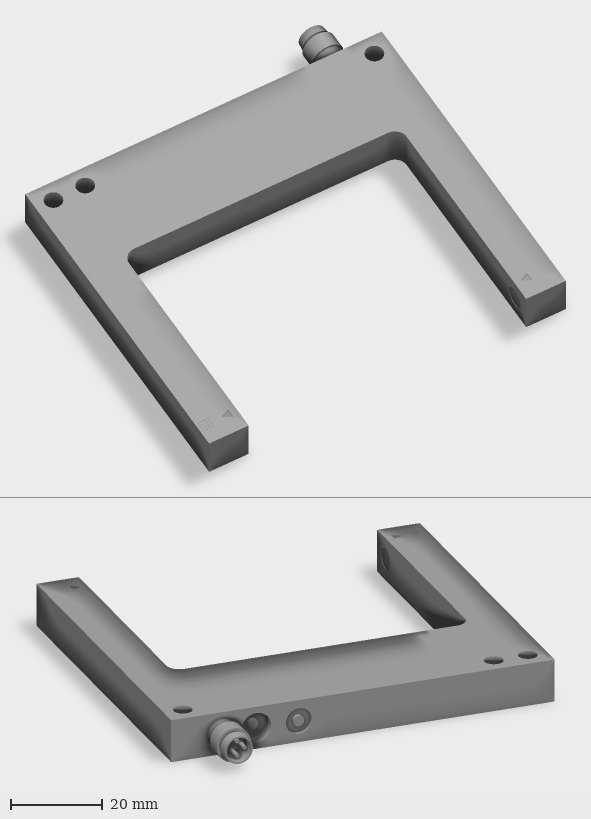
import cadquery as cq

overall_length = 90.0
body_width = 90.0
body_height = 10.0
plug_length = 10.0
arm_width = 10.0
spine_width = 25.0
inner_corner_radius = 3.0

mount_hole_diameter = 4.3
mount_hole_inset = 4.5
mount_hole_spacing = 8.0

plug_inset = 12.0
tip_diameter = 6.5
tip_length = 2.2
flare_diameter = 7.0
groove_diameter = 6.5
groove_end = 3.0
collar_diameter = 8.0
collar_end = 7.0
neck_diameter = 7.0
socket_diameter = 5.8
socket_depth = 4.5
pin_diameter = 1.0
pin_circle_radius = 1.7
pin_length = 3.6

adjuster_inset = 20.0
adjuster_diameter = 7.0
adjuster_depth = 3.0
lamp_inset = 30.0
lamp_diameter = 6.0
lamp_depth = 1.0
knob_diameter = 2.5
knob_height = 1.0

optic_setback = 4.95
lens_diameter = 5.0
marking_depth = 0.2
arrow_width = 2.2
arrow_length = 2.2
back_arrow_inset = 6.3
front_arrow_inset = 8.3
dot_pitch = 0.84
dot_diameter = 0.2
dots_per_side = 4
dot_grid_inset = 2.0
dot_grid_setback = 4.9

body_length = overall_length - plug_length
left = -body_length / 2
right = body_length / 2
back = body_width / 2
front = -body_width / 2
inner_half_gap = body_width / 2 - arm_width
middle_height = body_height / 2
optic_x = right - optic_setback


def rod(x_start, x_end, y, diameter, z=middle_height):
    """Cylinder along X between two X positions."""
    return (
        cq.Workplane("YZ", origin=(x_start, y, z))
        .circle(diameter / 2)
        .extrude(x_end - x_start)
    )


def make_body():
    slab = cq.Workplane("XY").box(body_length, body_width, body_height, centered=(True, True, False))
    gap = (
        cq.Workplane("XY")
        .box(body_length, 2 * inner_half_gap, body_height, centered=(False, True, False))
        .translate((left + spine_width, 0, 0))
        .edges("|Z and <X")
        .fillet(inner_corner_radius)
    )
    return slab.cut(gap)


def make_mount_holes():
    hole_x = left + mount_hole_inset
    front_y = front + mount_hole_inset
    hole_ys = [back - mount_hole_inset, front_y, front_y + mount_hole_spacing]
    return (
        cq.Workplane("XY")
        .pushPoints([(hole_x, y) for y in hole_ys])
        .circle(mount_hole_diameter / 2)
        .extrude(body_height)
    )


def make_flared_tip(x_start, y):
    """Slightly conical plug end, widening toward the body."""
    return (
        cq.Workplane("YZ", origin=(x_start, y, middle_height))
        .circle(tip_diameter / 2)
        .workplane(offset=tip_length)
        .circle(flare_diameter / 2)
        .loft(ruled=True)
    )


def make_plug():
    y = back - plug_inset
    tip = left - plug_length
    plug = (
        make_flared_tip(tip, y)
        .union(rod(tip + tip_length, tip + groove_end, y, groove_diameter))
        .union(rod(tip + groove_end, tip + collar_end, y, collar_diameter))
        .union(rod(tip + collar_end, left, y, neck_diameter))
        .cut(rod(tip, tip + socket_depth, y, socket_diameter))
    )
    floor = tip + socket_depth
    pin_offsets = [(0, pin_circle_radius), (0, -pin_circle_radius), (-pin_circle_radius, 0)]
    for dy, dz in pin_offsets:
        plug = plug.union(rod(floor - pin_length, floor, y + dy, pin_diameter, middle_height + dz))
    return plug


def make_recess(inset, diameter, depth):
    y = back - inset
    floor = left + depth
    knob = rod(floor - knob_height, floor, y, knob_diameter)
    return rod(left, floor, y, diameter).cut(knob)


def make_lenses():
    """Shallow round lens windows, facing each other across the gap."""
    reach = inner_half_gap + marking_depth
    return (
        cq.Workplane("XZ", origin=(optic_x, reach, middle_height))
        .circle(lens_diameter / 2)
        .extrude(2 * reach)
    )


def make_arrow(base_y):
    """Engraved triangle pointing toward -Y."""
    return (
        cq.Workplane("XY", origin=(optic_x, base_y, body_height - marking_depth))
        .polyline([(-arrow_width / 2, 0), (arrow_width / 2, 0), (0, -arrow_length)])
        .close()
        .extrude(marking_depth)
    )


def make_dot_grid():
    grid_y = front + dot_grid_inset
    return (
        cq.Workplane("XY", origin=(right - dot_grid_setback, grid_y, body_height - marking_depth))
        .rarray(dot_pitch, dot_pitch, dots_per_side, dots_per_side)
        .circle(dot_diameter / 2)
        .extrude(marking_depth)
    )


result = (
    make_body()
    .union(make_plug())
    .cut(make_mount_holes())
    .cut(make_recess(adjuster_inset, adjuster_diameter, adjuster_depth))
    .cut(make_recess(lamp_inset, lamp_diameter, lamp_depth))
    .cut(make_lenses())
    .cut(make_arrow(back - back_arrow_inset))
    .cut(make_arrow(front + front_arrow_inset))
    .cut(make_dot_grid())
)